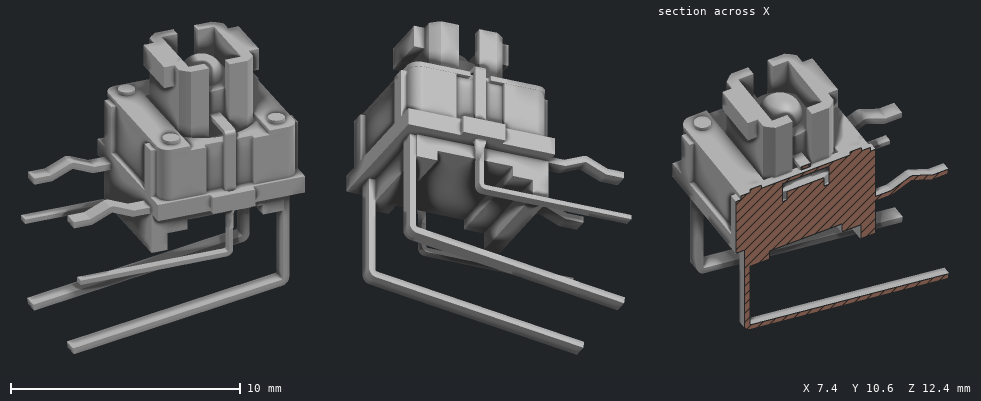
import cadquery as cq
import math

plate_width = 6.76
plate_depth = 6.97
plate_height = 0.8
tab_span = 7.4
tab_depth = 2.0

box_side = 6.47
box_top = 3.09
box_corner_radius = 0.52
cover_side = 6.5
cover_top = 3.31
side_recess_depth = 2.27
side_recess_inset = 0.25
pad_width = 0.71
pad_spacing = 4.46
peg_diameter = 0.75
peg_spacing = 4.99
peg_top = 3.5
window_half_depth = 1.87
window_left_x = -1.89
lead_notch_depth = 0.97

skirt_width = 5.35
skirt_back_y = 2.78
skirt_foot_y = 1.79
skirt_roof_z = -0.61
skirt_foot_z = -1.08
skirt_wall_z = -1.9
skirt_wall_back_y = -2.74

terminal_thickness = 0.3
terminal_end_y = -7.12
leg_bottom_z = -6.2
leg_slope = 7.9
bend_inner_radius = 0.1
crest_y = -5.3
crest_rise = 0.41
crest_run = 0.97
crest_radius = 0.3

plunger_width = 4.0
plunger_depth = 3.51
plunger_round_diameter = 4.8
plunger_top = 6.25
plunger_floor = 2.55
pocket_width = 3.04
pocket_depth = 2.49
slot_depth = 0.97
catch_width = 2.3
catch_span = 4.5
catch_bottom = 5.23
flange_diameter = 4.93
flange_thickness = 0.5
bore_diameter = 5.1

led_diameter = 2.99
led_shoulder_z = 4.8
dome_diameter = 1.99
lead_thickness = 0.21
lead_width = 0.5
lead_top = 3.7
lead_outer_x = 3.29
lead_hole_diameter = 0.6
lead_hole_x = 3.12
twist_top_z = -0.07
twist_bottom_z = -1.11
blade_center_x = 3.14
blade_bottom_z = -2.43
left_blade_width = 0.47
right_blade_width = 0.39

plate_front_y = -plate_depth / 2


def block(x_range, y_range, z_range):
    """Axis-aligned box between the given limits."""
    size = [high - low for low, high in (x_range, y_range, z_range)]
    corner = (x_range[0], y_range[0], z_range[0])
    return cq.Workplane("XY").box(*size, centered=False).translate(corner)


def centered_block(width, depth, bottom, top):
    """Box centred on the Z axis between two heights."""
    return block((-width / 2, width / 2), (-depth / 2, depth / 2), (bottom, top))


def disc(diameter, bottom, top, x=0, y=0):
    """Upright cylinder between two heights."""
    return cq.Workplane("XY", origin=(x, y, bottom)).circle(diameter / 2).extrude(top - bottom)


def side_profile(points, x_center, width):
    """YZ outline extruded along X about x_center."""
    origin = (x_center - width / 2, 0, 0)
    return cq.Workplane("YZ", origin=origin).polyline(points).close().extrude(width)


def round_edge(body, y, z, radius):
    """Round the X-parallel edge nearest to (y, z)."""
    x = body.val().Center().x
    return body.edges("|X").edges(cq.selectors.NearestToPointSelector((x, y, z))).fillet(radius)


def make_plate():
    plate = centered_block(plate_width, plate_depth, 0, plate_height)
    tabs = centered_block(tab_span, tab_depth, 0, plate_height)
    return plate.union(tabs)


def make_box():
    box = centered_block(box_side, box_side, 0, box_top).edges("|Z").fillet(box_corner_radius)
    for side in (-1, 1):
        limits = sorted((side * (box_side / 2 - side_recess_inset), side * box_side / 2))
        half = side_recess_depth / 2
        box = box.cut(block(limits, (-half, half), (plate_height, box_top)))
        for x in (-pad_spacing / 2, pad_spacing / 2):
            pad_y = sorted((0, side * plate_depth / 2))
            box = box.union(block((x - pad_width / 2, x + pad_width / 2), pad_y, (0, box_top)))
    return box.cut(disc(bore_diameter, plunger_floor - flange_thickness, box_top))


def make_cover():
    cover = centered_block(cover_side, cover_side, box_top, cover_top).edges("|Z").fillet(box_corner_radius)
    heights = (box_top, cover_top)
    window = block((window_left_x, cover_side), (-window_half_depth, window_half_depth), heights)
    notch_floor_x = side_recess_inset - cover_side / 2
    notch = block((-cover_side, notch_floor_x), (-lead_notch_depth / 2, lead_notch_depth / 2), heights)
    cover = cover.cut(window).cut(notch)
    for x in (-peg_spacing / 2, peg_spacing / 2):
        for y in (-peg_spacing / 2, peg_spacing / 2):
            cover = cover.union(disc(peg_diameter, box_top, peg_top, x, y))
    return cover


def make_skirt():
    outline = [
        (skirt_back_y, 0),
        (skirt_back_y, skirt_foot_z),
        (skirt_foot_y, skirt_foot_z),
        (skirt_foot_y, skirt_roof_z),
        (-skirt_foot_y, skirt_roof_z),
        (-skirt_foot_y, skirt_foot_z),
        (skirt_wall_back_y, skirt_foot_z),
        (skirt_wall_back_y, skirt_wall_z),
        (plate_front_y, skirt_wall_z),
        (plate_front_y, 0),
    ]
    return side_profile(outline, 0, skirt_width)


def make_long_leg(x):
    """Terminal that drops behind the skirt and runs forward at a slope."""
    slope = math.radians(leg_slope)
    back_y = skirt_back_y + terminal_thickness
    end_top_y = terminal_end_y - terminal_thickness * math.sin(slope)
    end_top_z = leg_bottom_z + terminal_thickness * math.cos(slope)
    outer_z = leg_bottom_z + (back_y - terminal_end_y) * math.tan(slope)
    inner_z = end_top_z + (skirt_back_y - end_top_y) * math.tan(slope)
    outline = [
        (back_y, 0),
        (back_y, outer_z),
        (terminal_end_y, leg_bottom_z),
        (end_top_y, end_top_z),
        (skirt_back_y, inner_z),
        (skirt_back_y, 0),
    ]
    leg = round_edge(side_profile(outline, x, pad_width), skirt_back_y, inner_z, bend_inner_radius)
    return round_edge(leg, back_y, outer_z, terminal_thickness + bend_inner_radius)


def make_short_leg(x):
    """Terminal that runs forward from the plate with one raised crest."""
    slope = math.atan2(crest_rise, crest_run)
    miter = terminal_thickness * math.tan(slope / 2)
    crest_top_z = terminal_thickness / math.cos(slope) + crest_rise
    outline = [
        (plate_front_y, 0),
        (crest_y + crest_run, 0),
        (crest_y, crest_rise),
        (crest_y - crest_run, 0),
        (terminal_end_y, 0),
        (terminal_end_y, terminal_thickness),
        (crest_y - crest_run - miter, terminal_thickness),
        (crest_y, crest_top_z),
        (crest_y + crest_run + miter, terminal_thickness),
        (plate_front_y, terminal_thickness),
    ]
    return round_edge(side_profile(outline, x, pad_width), crest_y, crest_top_z, crest_radius)


def make_plunger():
    """Four-walled cap on a round flange, slotted for the LED leads."""
    walls = centered_block(plunger_width, plunger_depth, plunger_floor, plunger_top)
    walls = walls.intersect(disc(plunger_round_diameter, plunger_floor, plunger_top))
    walls = walls.union(centered_block(catch_width, catch_span, catch_bottom, plunger_top))
    walls = walls.cut(centered_block(pocket_width, pocket_depth, plunger_floor, plunger_top))
    walls = walls.cut(centered_block(plunger_width, slot_depth, plunger_floor, plunger_top))
    return walls.union(disc(flange_diameter, plunger_floor - flange_thickness, plunger_floor))


def make_housing():
    housing = make_plate().union(make_box()).union(make_cover()).union(make_skirt())
    for x in (-pad_spacing / 2, pad_spacing / 2):
        housing = housing.union(make_long_leg(x)).union(make_short_leg(x))
    for x in (-lead_hole_x, lead_hole_x):
        housing = housing.cut(disc(lead_hole_diameter, 0, plate_height, x))
    return housing.union(make_plunger())


def rectangle_corners(x_center, x_size, y_size, z):
    """Corners of a horizontal rectangle, counter-clockwise from (-X, -Y)."""
    signs = ((-1, -1), (1, -1), (1, 1), (-1, 1))
    return [cq.Vector(x_center + i * x_size / 2, j * y_size / 2, z) for i, j in signs]


def make_twist(top_x, bottom_x, blade_width):
    """Quarter-turn neck whose sides are ruled from the lead down to the blade."""
    top = rectangle_corners(top_x, lead_thickness, lead_width, twist_top_z)
    bottom = rectangle_corners(bottom_x, blade_width, lead_thickness, twist_bottom_z)
    turned = bottom[-1:] + bottom[:-1]
    faces = [cq.Face.makeFromWires(cq.Wire.makePolygon(ring, close=True)) for ring in (top, bottom)]
    for i in range(len(top)):
        top_edge = cq.Edge.makeLine(top[i - 1], top[i])
        bottom_edge = cq.Edge.makeLine(turned[i - 1], turned[i])
        faces.append(cq.Face.makeRuledSurface(top_edge, bottom_edge))
    return cq.Workplane(cq.Solid.makeSolid(cq.Shell.makeShell(faces)))


def make_lead(side, blade_width):
    """Lead that leaves the LED sideways, drops past the housing, twists and runs forward."""
    y_limits = (-lead_width / 2, lead_width / 2)
    inner_x = lead_outer_x - lead_thickness
    arm = block((0, lead_outer_x), y_limits, (lead_top - lead_thickness, lead_top))
    drop = block((inner_x, lead_outer_x), y_limits, (twist_top_z, lead_top))
    lead = arm.union(drop).edges("|Y and >X and >Z").fillet(lead_thickness)
    if side < 0:
        lead = lead.mirror("YZ")

    blade_x = side * blade_center_x
    half = lead_thickness / 2
    outline = [
        (half, twist_bottom_z),
        (half, blade_bottom_z),
        (terminal_end_y, blade_bottom_z),
        (terminal_end_y, blade_bottom_z + lead_thickness),
        (-half, blade_bottom_z + lead_thickness),
        (-half, twist_bottom_z),
    ]
    blade = side_profile(outline, blade_x, blade_width)
    blade = round_edge(blade, -half, blade_bottom_z + lead_thickness, bend_inner_radius)
    blade = round_edge(blade, half, blade_bottom_z, lead_thickness + bend_inner_radius)
    twist = make_twist(side * (lead_outer_x - lead_thickness / 2), blade_x, blade_width)
    return lead.union(twist).union(blade)


def make_led():
    """Domed LED with two flats, seated on the plunger floor."""
    case = disc(led_diameter, plunger_floor, led_shoulder_z)
    case = case.intersect(centered_block(led_diameter, pocket_depth, plunger_floor, led_shoulder_z))
    dome = cq.Workplane("XY", origin=(0, 0, led_shoulder_z)).sphere(dome_diameter / 2)
    led = case.union(dome)
    return led.union(make_lead(-1, left_blade_width)).union(make_lead(1, right_blade_width))


housing = make_housing()
led = make_led()
result = cq.Compound.makeCompound([housing.val(), led.val()])